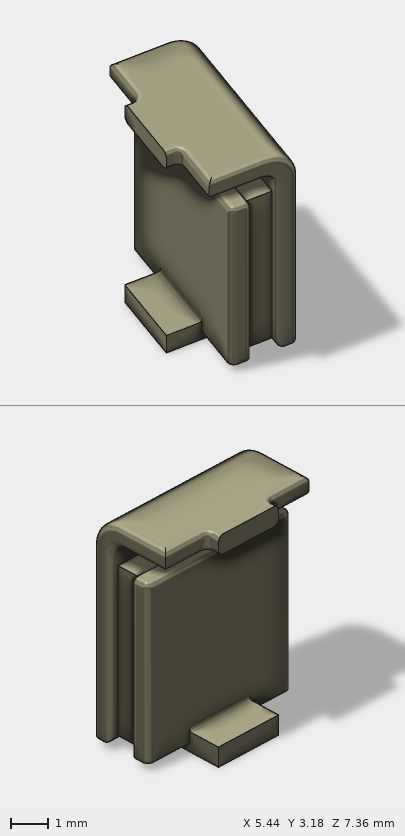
import cadquery as cq
import math

width = 5.44
depth = 3.18
height = 7.36

sheet = 0.64
edge_round = 0.2
bend_outer = 1.0
bend_inner = 0.5

tab_width = 2.28
wing_setback = 0.43
foot_outer_bend = 0.4
foot_inner_bend = 0.1

plate_bottom = 0.28
front_plate_top = 6.005
front_plate_front = 1.105
core_end_inset = 0.155
core_side_inset = 0.3

edge_margin = 0.04

front_plate_back = front_plate_front + sheet
back_plate_front = depth - sheet
flange_bottom = height - sheet


def slab(size_x, y_range, z_range):
    """Block centred in X that spans the given Y and Z ranges."""
    y_min, y_max = y_range
    z_min, z_max = z_range
    block = cq.Workplane("XY", origin=(0, y_min, z_min))
    return block.box(size_x, y_max - y_min, z_max - z_min, centered=(True, False, False))


def quarter_arc_middle(centre_y, centre_z, radius):
    """Middle point of an arc that turns from +Z to +Y about its centre."""
    offset = radius * math.sqrt(0.5)
    return centre_y + offset, centre_z + offset


def bent_sheet():
    """Back plate bent forward into a top flange, still with square edges."""
    outer_y = depth - bend_outer
    outer_z = height - bend_outer
    inner_y = back_plate_front - bend_inner
    inner_z = flange_bottom - bend_inner
    outline = (
        cq.Workplane("YZ")
        .moveTo(0, height)
        .lineTo(outer_y, height)
        .threePointArc(quarter_arc_middle(outer_y, outer_z, bend_outer), (depth, outer_z))
        .lineTo(depth, plate_bottom)
        .lineTo(back_plate_front, plate_bottom)
        .lineTo(back_plate_front, inner_z)
        .threePointArc(
            quarter_arc_middle(inner_y, inner_z, bend_inner), (inner_y, flange_bottom)
        )
        .lineTo(0, flange_bottom)
        .close()
    )
    return outline.extrude(width / 2, both=True)


def back_plate():
    """Bent sheet narrowed to a tongue at the front, with rounded borders."""
    flange_front = slab(width, (0, wing_setback), (flange_bottom, height))
    tongue = slab(tab_width, (0, wing_setback), (flange_bottom, height))
    plate = bent_sheet().cut(flange_front.cut(tongue))

    wing_band = cq.selectors.BoxSelector(
        (-width, wing_setback - edge_margin, flange_bottom - edge_margin),
        (width, wing_setback + edge_margin, height + edge_margin),
    )
    outer_corners = cq.selectors.StringSyntaxSelector("<X or >X")
    inside_corners = cq.selectors.InverseSelector(outer_corners)
    plate = plate.edges("|Z").edges(wing_band).edges(inside_corners).fillet(edge_round)

    wing_edges = plate.edges("|X").edges(wing_band).vals()
    bottom_edges = plate.faces("<Z").edges("|X").vals()
    side_outline = plate.faces("<X or >X").edges().vals()
    side_edges = [edge for edge in side_outline if edge.Length() > sheet + edge_margin]
    return plate.newObject(wing_edges + bottom_edges + side_edges).fillet(edge_round)


def front_plate():
    """Upright plate, rounded everywhere except around its bottom face."""
    plate = slab(width, (front_plate_front, front_plate_back), (plate_bottom, front_plate_top))
    bottom_edges = cq.selectors.StringSyntaxSelector("<Z")
    return plate.edges(cq.selectors.InverseSelector(bottom_edges)).fillet(edge_round)


def foot():
    """Foot below the front plate, bent forward with a round heel and a small inner bend."""
    bend_centre_y = front_plate_front - foot_inner_bend
    bend_centre_z = sheet + foot_inner_bend
    arc_offset = foot_inner_bend * math.sqrt(0.5)
    outline = (
        cq.Workplane("YZ")
        .lineTo(front_plate_back, 0)
        .lineTo(front_plate_back, bend_centre_z)
        .lineTo(front_plate_front, bend_centre_z)
        .threePointArc(
            (bend_centre_y + arc_offset, bend_centre_z - arc_offset), (bend_centre_y, sheet)
        )
        .lineTo(0, sheet)
        .close()
    )
    block = outline.extrude(tab_width / 2, both=True)
    return block.edges("|X and >Y and <Z").fillet(foot_outer_bend)


core = slab(
    width - 2 * core_side_inset,
    (front_plate_front + edge_round, back_plate_front + edge_round),
    (plate_bottom + core_end_inset, front_plate_top - core_end_inset),
)

result = back_plate().union(core).union(front_plate()).union(foot())